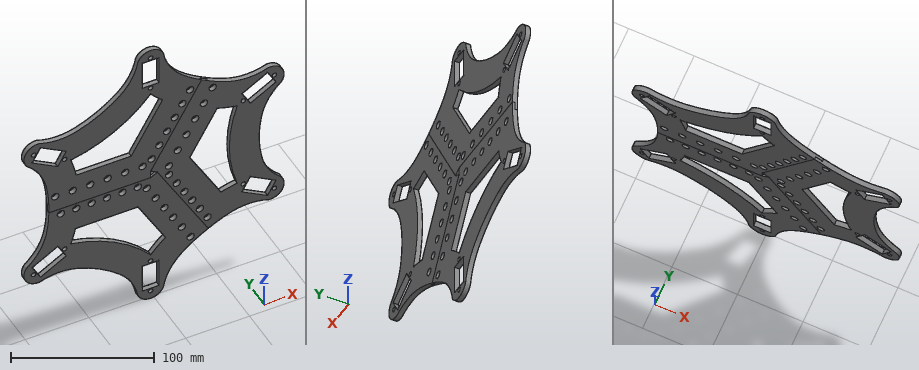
import cadquery as cq
import math


PLATE_COUNT = 3
PLATE_STEP = 360 / PLATE_COUNT
THICKNESS = 4.0
SEAM_ANGLE = PLATE_STEP / 2
LAP_WIDTH = 6.0
CORNER_OFFSET = LAP_WIDTH / math.sqrt(3)

ARM_ANGLE = SEAM_ANGLE / 2
TIP_DISTANCE = 102.0
TIP_RADIUS = 11.0

SIDE_DISTANCE = 79.8
SIDE_RADIUS = 92.8
SHOULDER_OFFSET = 19.2
TIP_WRAP = 24.0

SERVO_DISTANCE = 91.8
SERVO_LENGTH = 23.2
SERVO_WIDTH = 13.2
SCREW_DIAMETER = 3.5
SCREW_SPACING = 28.0

WINDOW_UPPER_MARGIN = 20.5
WINDOW_LOWER_MARGIN = 23.5
WINDOW_ARC_DISTANCE = 56.4
WINDOW_ARC_RADIUS = 109.0

ROW_COUNT = 6
ROW_HOLE_DIAMETER = 5.5
UPPER_ROW_START = 6.3
UPPER_ROW_PITCH = 13.7
UPPER_ROW_MARGIN = 7.0
LOWER_ROW_START = 10.0
LOWER_ROW_PITCH = 12.0
LOWER_ROW_MARGIN = 4.9


def polar(distance, angle, across=0.0):
    """Point at a distance along a direction, shifted sideways (counter-clockwise positive)."""
    a = math.radians(angle)
    return (
        distance * math.cos(a) - across * math.sin(a),
        distance * math.sin(a) + across * math.cos(a),
    )


def drill(points, diameter):
    return cq.Workplane("XY").pushPoints(points).circle(diameter / 2).extrude(THICKNESS / 2, both=True)


def plate_outline():
    """Closed wire: lower seam, half side, tip, full side, tip, half side, upper seam."""
    half_arc = math.asin(SHOULDER_OFFSET / SIDE_RADIUS)
    shoulder_distance = SIDE_DISTANCE + SIDE_RADIUS * (1 - math.cos(half_arc))
    flank_turn = math.degrees(half_arc)
    wrap = math.radians(TIP_WRAP)
    joint_distance = TIP_DISTANCE + TIP_RADIUS * math.sin(wrap)
    joint_across = TIP_RADIUS * math.cos(wrap)

    def half_side(axis, hand):
        """Half of a hollow side, from its axis to a tip; hand is 1 counter-clockwise, -1 clockwise."""
        deepest = cq.Vector(*polar(SIDE_DISTANCE, axis))
        shoulder = cq.Vector(*polar(shoulder_distance, axis, hand * SHOULDER_OFFSET))
        joint = cq.Vector(*polar(joint_distance, axis + hand * ARM_ANGLE, -hand * joint_across))
        sideways = cq.Vector(*polar(1, axis + hand * 90))
        flank_direction = cq.Vector(*polar(1, axis + hand * (90 - flank_turn)))
        return [
            cq.Edge.makeTangentArc(deepest, sideways, shoulder),
            cq.Edge.makeTangentArc(shoulder, flank_direction, joint),
        ]

    def tip(angle):
        return cq.Edge.makeThreePointArc(
            cq.Vector(*polar(joint_distance, angle, -joint_across)),
            cq.Vector(*polar(TIP_DISTANCE + TIP_RADIUS, angle)),
            cq.Vector(*polar(joint_distance, angle, joint_across)),
        )

    corner = cq.Vector(0, 0, 0)
    return cq.Wire.assembleEdges([
        cq.Edge.makeLine(corner, cq.Vector(*polar(SIDE_DISTANCE, -SEAM_ANGLE))),
        *half_side(-SEAM_ANGLE, 1),
        tip(-ARM_ANGLE),
        *reversed(half_side(0, -1)),
        *half_side(0, 1),
        tip(ARM_ANGLE),
        *reversed(half_side(SEAM_ANGLE, -1)),
        cq.Edge.makeLine(cq.Vector(*polar(SIDE_DISTANCE, SEAM_ANGLE)), corner),
    ])


def lap_strip(angle, outward, level):
    """Half-thickness strip outside the seam at the given angle."""
    return (
        cq.Workplane("XY")
        .polyline([
            (0, 0),
            polar(SIDE_DISTANCE, angle),
            polar(SIDE_DISTANCE, angle, outward * LAP_WIDTH),
            polar(0, angle, outward * LAP_WIDTH),
        ])
        .close()
        .extrude(level * THICKNESS / 2)
    )


def servo_cutout(angle):
    slot = (
        cq.Workplane("XY")
        .center(*polar(SERVO_DISTANCE, angle))
        .transformed(rotate=(0, 0, angle))
        .rect(SERVO_LENGTH, SERVO_WIDTH)
        .extrude(THICKNESS / 2, both=True)
    )
    screw_points = [polar(SERVO_DISTANCE + s * SCREW_SPACING / 2, angle) for s in (-1, 1)]
    return slot.union(drill(screw_points, SCREW_DIAMETER))


def window():
    """Wedge parallel to the seams, closed by three equal arcs, one facing each hollow side."""
    seam = math.radians(SEAM_ANGLE)
    vertex = (
        (WINDOW_UPPER_MARGIN + WINDOW_LOWER_MARGIN) / (2 * math.sin(seam)),
        (WINDOW_LOWER_MARGIN - WINDOW_UPPER_MARGIN) / (2 * math.cos(seam)),
    )
    upper_reach = polar(SIDE_DISTANCE, SEAM_ANGLE)
    lower_reach = polar(SIDE_DISTANCE, -SEAM_ANGLE)
    wedge = (
        cq.Workplane("XY")
        .polyline([
            vertex,
            (vertex[0] + lower_reach[0], vertex[1] + lower_reach[1]),
            (vertex[0] + upper_reach[0], vertex[1] + upper_reach[1]),
        ])
        .close()
        .extrude(THICKNESS / 2, both=True)
    )
    arc_centres = [
        polar(WINDOW_ARC_DISTANCE + WINDOW_ARC_RADIUS, a) for a in (-SEAM_ANGLE, 0, SEAM_ANGLE)
    ]
    for centre in arc_centres:
        wedge = wedge.cut(drill([centre], 2 * WINDOW_ARC_RADIUS))
    return wedge


def hole_row(angle, start, pitch, across):
    return drill([polar(start + i * pitch, angle, across) for i in range(ROW_COUNT)], ROW_HOLE_DIAMETER)


def make_plate():
    sheet = cq.Solid.extrudeLinear(plate_outline(), [], cq.Vector(0, 0, THICKNESS))
    plate = cq.Workplane("XY").add(sheet.translate(cq.Vector(0, 0, -THICKNESS / 2)))
    plate = plate.union(lap_strip(SEAM_ANGLE, 1, 1)).union(lap_strip(-SEAM_ANGLE, -1, -1))
    for angle in (-ARM_ANGLE, ARM_ANGLE):
        plate = plate.cut(servo_cutout(angle))
    plate = plate.cut(window())
    plate = plate.cut(hole_row(SEAM_ANGLE, UPPER_ROW_START, UPPER_ROW_PITCH, -UPPER_ROW_MARGIN))
    plate = plate.cut(hole_row(-SEAM_ANGLE, LOWER_ROW_START, LOWER_ROW_PITCH, LOWER_ROW_MARGIN))
    return plate.translate((CORNER_OFFSET, 0, 0)).rotate((0, 0, 0), (1, 0, 0), 90)


plate = make_plate()
plates = [
    plate.rotate((0, 0, 0), (0, 1, 0), i * PLATE_STEP).val() for i in range(PLATE_COUNT)
]

result = cq.Compound.makeCompound(plates)